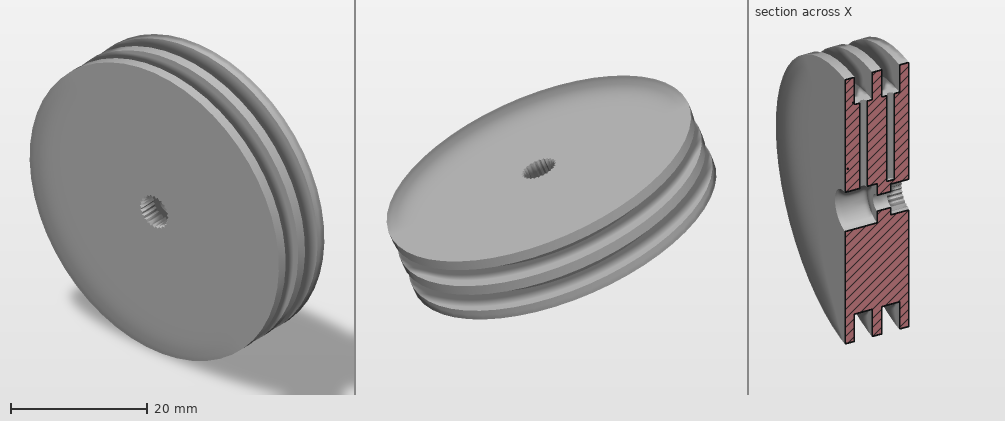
import cadquery as cq
import math

FLANGE_DIAMETER = 47.85
GROOVE_FLOOR_DIAMETER = 38.0
TOTAL_WIDTH = 10.35
FLANGE_COUNT = 3
FLANGE_WIDTH = 1.55
BORE_DIAMETER = 2.8
SPLINE_TEETH = 24
SPLINE_TIP_DIAMETER = 5.48
SPLINE_ROOT_DIAMETER = 4.85
SPLINE_DEPTH = 2.9
CORD_HOLE_DIAMETER = 1.1
HUB_DIAMETER = 7.0
HUB_LENGTH = TOTAL_WIDTH / 2

FRONT_Y = -TOTAL_WIDTH / 2
FLANGE_PITCH = (TOTAL_WIDTH - FLANGE_WIDTH) / (FLANGE_COUNT - 1)


def cylinder_along_y(diameter, start_y, length):
    """Solid cylinder on the spool axis, running from start_y towards +Y."""
    plane = cq.Workplane(cq.Plane(origin=(0, start_y, 0), xDir=(0, 0, 1), normal=(0, 1, 0)))
    return plane.circle(diameter / 2).extrude(length)


def spool_body():
    """Winding core with evenly spaced flanges."""
    body = cylinder_along_y(GROOVE_FLOOR_DIAMETER, FRONT_Y, TOTAL_WIDTH)
    for index in range(FLANGE_COUNT):
        flange_y = FRONT_Y + index * FLANGE_PITCH
        body = body.union(cylinder_along_y(FLANGE_DIAMETER, flange_y, FLANGE_WIDTH))
    return body


def spline_socket():
    """Toothed shaft socket, open at the front face, with one groove tip pointing at +Z."""
    half_tooth_angle = math.pi / SPLINE_TEETH
    points = []
    for index in range(2 * SPLINE_TEETH):
        diameter = SPLINE_TIP_DIAMETER if index % 2 == 0 else SPLINE_ROOT_DIAMETER
        angle = math.pi / 2 + index * half_tooth_angle
        points.append((diameter / 2 * math.cos(angle), diameter / 2 * math.sin(angle)))
    plane = cq.Workplane("XZ", origin=(0, FRONT_Y, 0))
    return plane.polyline(points).close().extrude(-SPLINE_DEPTH)


def cord_holes():
    """One radial hole per winding groove, opening on the +Z side."""
    centers = []
    for index in range(FLANGE_COUNT - 1):
        centers.append((0, FRONT_Y + FLANGE_WIDTH / 2 + (index + 0.5) * FLANGE_PITCH))
    plane = cq.Workplane("XY").pushPoints(centers)
    return plane.circle(CORD_HOLE_DIAMETER / 2).extrude(GROOVE_FLOOR_DIAMETER / 2)


def hub():
    """Front hub with a through bore and the splined shaft socket."""
    blank = cylinder_along_y(HUB_DIAMETER, FRONT_Y, HUB_LENGTH)
    bore = cylinder_along_y(BORE_DIAMETER, FRONT_Y, HUB_LENGTH)
    return blank.cut(bore).cut(spline_socket())


hub_seat = cylinder_along_y(HUB_DIAMETER, FRONT_Y, TOTAL_WIDTH)
result = spool_body().cut(cord_holes()).cut(hub_seat).union(hub())